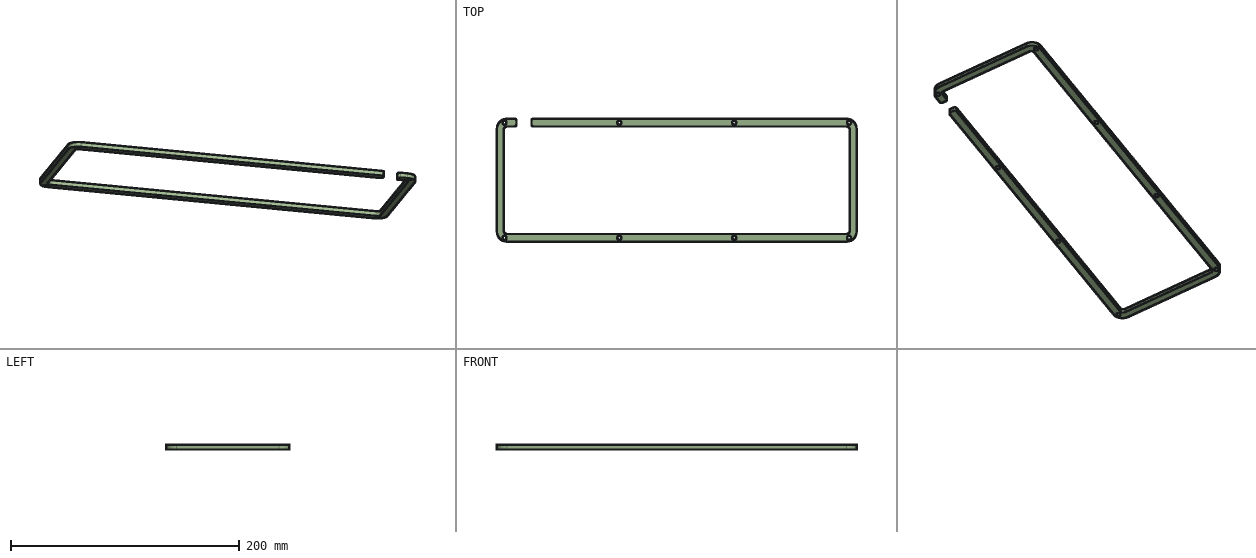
import cadquery as cq

length = 315.7
width = 108.0
thickness = 4.5
outer_radius = 9.0

long_bar_width = 7.0
short_bar_width = 6.3
inner_radius = 2.5

gap_start = 17.5
gap_end = 30.3
bar_end_radius = 2.0

hole_diameter = 3.5
hole_pitch = 100.7
holes_per_bar = 4
hole_row_y = (width - long_bar_width) / 2


def rounded_plate(size_x, size_y, corner_radius):
    """Flat plate with rounded vertical corners, standing on Z = 0."""
    plate = cq.Workplane("XY").box(size_x, size_y, thickness, centered=(True, True, False))
    return plate.edges("|Z").fillet(corner_radius)


def closed_frame():
    """Rectangular ring made of two long and two short bars."""
    outside = rounded_plate(length, width, outer_radius)
    opening = rounded_plate(length - 2 * short_bar_width, width - 2 * long_bar_width, inner_radius)
    return outside.cut(opening)


def cut_gap(frame):
    """Open the +Y bar and round the corners of its two free ends."""
    gap_length = gap_end - gap_start
    gap_x = (gap_start + gap_end - length) / 2
    gap = (
        cq.Workplane("XY")
        .center(gap_x, hole_row_y)
        .rect(gap_length, 2 * long_bar_width)
        .extrude(thickness)
    )
    end_edges = cq.selectors.BoxSelector(
        (gap_x - gap_length, hole_row_y - long_bar_width, 0),
        (gap_x + gap_length, hole_row_y + long_bar_width, thickness),
    )
    return frame.cut(gap).edges("|Z").edges(end_edges).fillet(bar_end_radius)


def drill_holes(frame):
    """Drill a row of through holes along each long bar."""
    holes = (
        cq.Workplane("XY")
        .rarray(hole_pitch, 2 * hole_row_y, holes_per_bar, 2)
        .circle(hole_diameter / 2)
        .extrude(thickness)
    )
    return frame.cut(holes)


result = drill_holes(cut_gap(closed_frame()))